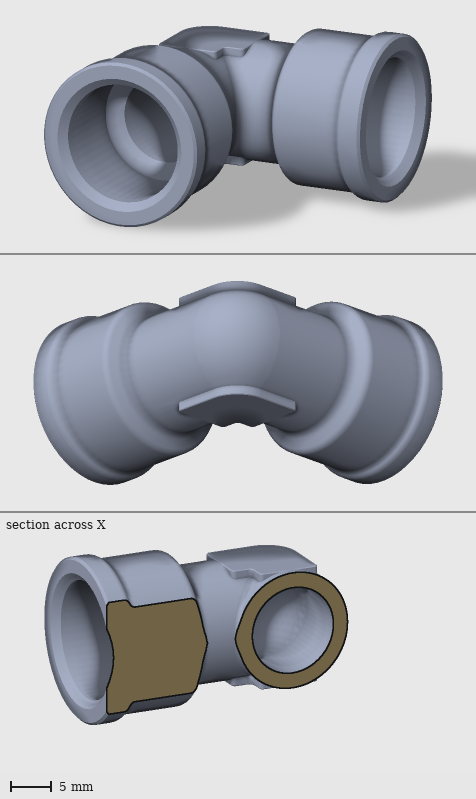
import cadquery as cq
import math

overall_length = 36.0
collar_radius = 21.0 / 2
leg_length = overall_length - collar_radius

tube_radius = 15.0 / 2
socket_radius = 19.5 / 2
shoulder_start = 12.05
shoulder_angle = 60.0
shoulder_blend = 1.0
collar_blend_start = 21.55
collar_blend_length = 1.5
rim_chamfer = 0.32

bore_radius = 11.0 / 2
socket_bore_radius = 15.0 / 2
socket_bore_floor = 13.9
drill_point_angle = 118.0
mouth_chamfer = 0.97

pad_back = 4.0
pad_front = 6.48
pad_notch = 3.92
pad_corner_radius = 0.5
pad_edge_chamfer = 0.1
pad_top = 7.52
pad_bottom = 3.6

crotch_fillet = 0.5


def blended_shoulder():
    """Points of the tube-to-socket shoulder: start and end of each blend arc and of the cone."""
    angle = math.radians(shoulder_angle)
    shoulder_end = shoulder_start + (socket_radius - tube_radius) / math.tan(angle)
    tangent = shoulder_blend * math.tan(angle / 2)
    along = tangent * math.cos(angle)
    outward = tangent * math.sin(angle)
    return (
        (shoulder_start - tangent, tube_radius),
        (shoulder_start + along, tube_radius + outward),
        (shoulder_end - along, socket_radius - outward),
        (shoulder_end + tangent, socket_radius),
    )


def along_x(profile):
    """Revolve a closed (axial distance, radius) profile about the X axis."""
    return profile.close().revolve(360, (0, 0, 0), (1, 0, 0))


def along_minus_y(leg):
    return leg.rotate((0, 0, 0), (0, 0, 1), -90)


def outer_leg():
    tube_end, cone_start, cone_end, socket_start = blended_shoulder()
    half_rise = (collar_radius - socket_radius) / 2
    half_length = collar_blend_length / 2
    collar_blend = (half_length**2 + half_rise**2) / (2 * half_rise)
    collar_middle = (collar_blend_start + half_length, socket_radius + half_rise)
    collar_start = (collar_blend_start + collar_blend_length, collar_radius)
    profile = (
        cq.Workplane("XY")
        .lineTo(0, tube_radius)
        .lineTo(*tube_end)
        .radiusArc(cone_start, -shoulder_blend)
        .lineTo(*cone_end)
        .radiusArc(socket_start, shoulder_blend)
        .lineTo(collar_blend_start, socket_radius)
        .radiusArc(collar_middle, -collar_blend)
        .radiusArc(collar_start, collar_blend)
        .lineTo(leg_length - rim_chamfer, collar_radius)
        .lineTo(leg_length, collar_radius - rim_chamfer)
        .lineTo(leg_length, 0)
    )
    return along_x(profile)


def leg_bore():
    drill_length = (socket_bore_radius - bore_radius) / math.tan(math.radians(drill_point_angle / 2))
    profile = (
        cq.Workplane("XY")
        .lineTo(0, bore_radius)
        .lineTo(socket_bore_floor - drill_length, bore_radius)
        .lineTo(socket_bore_floor, socket_bore_radius)
        .lineTo(leg_length - mouth_chamfer, socket_bore_radius)
        .lineTo(leg_length, socket_bore_radius + mouth_chamfer)
        .lineTo(leg_length, 0)
    )
    return along_x(profile)


def elbow(leg, corner_radius):
    """Two equal legs at right angles joined by a spherical corner."""
    corner = cq.Workplane("XY").sphere(corner_radius)
    return leg.union(along_minus_y(leg)).union(corner)


def round_crotch(body):
    """Fillet the inside seam, the two half ellipses where the tubes meet."""
    reach = 1.1 * tube_radius
    near_origin = 0.1 * tube_radius
    seam = cq.selectors.BoxSelector((near_origin, -reach, -reach), (reach, -near_origin, reach))
    return body.edges(seam).fillet(crotch_fillet)


def wrench_pad():
    notch_corner = cq.selectors.NearestToPointSelector((pad_notch, -pad_notch, (pad_top + pad_bottom) / 2))
    diagonal = pad_back * math.sqrt(0.5)
    return (
        cq.Workplane("XY", origin=(0, 0, pad_bottom))
        .moveTo(-pad_back, 0)
        .threePointArc((-diagonal, diagonal), (0, pad_back))
        .lineTo(pad_front, pad_back)
        .lineTo(pad_front, -pad_notch)
        .lineTo(pad_notch, -pad_notch)
        .lineTo(pad_notch, -pad_front)
        .lineTo(-pad_back, -pad_front)
        .close()
        .extrude(pad_top - pad_bottom)
        .edges(cq.selectors.StringSyntaxSelector("|Z and (>X or <Y)") + notch_corner)
        .fillet(pad_corner_radius)
        .faces(">Z")
        .edges()
        .chamfer(pad_edge_chamfer)
    )


body = round_crotch(elbow(outer_leg(), tube_radius))
upper_pad = wrench_pad()
body = body.union(upper_pad).union(upper_pad.mirror("XY"))
result = body.cut(elbow(leg_bore(), bore_radius))